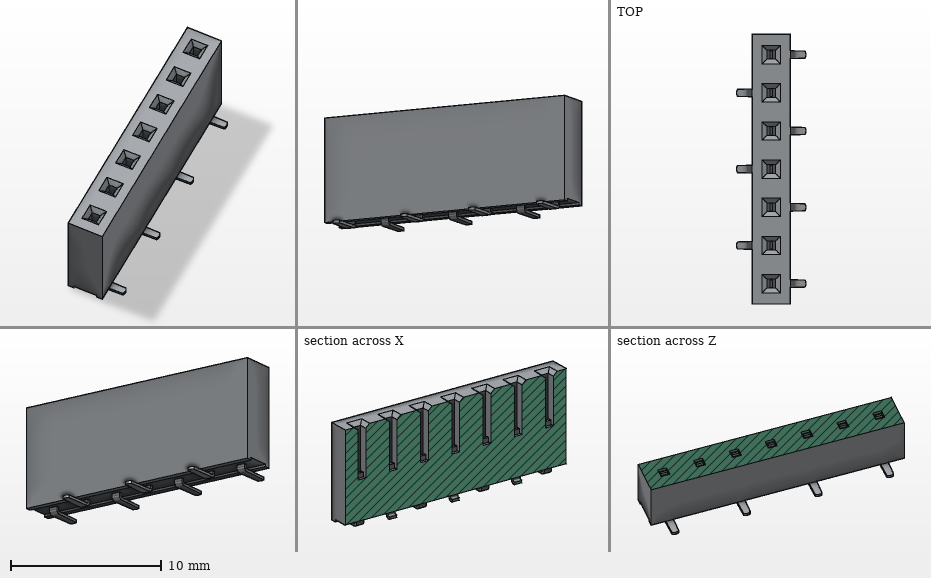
import cadquery as cq
import math


housing_width = 2.54
housing_length = 17.98
housing_bottom = 0.32
housing_top = 7.4
channel_width = 1.67
channel_depth = 0.16

contact_count = 7
end_allowance = 0.2

funnel_mouth = 1.22
funnel_depth = 0.29
well_size = 0.6
well_depth = 3.6

lead_span = 4.64
lead_thickness = 0.2
lead_root_width = 0.6
lead_tip_width = 0.49
lead_tip_bulge = 0.07
bend_inner_radius = 0.099
blade_width = 0.5
blade_height = 0.36

pitch = (housing_length - end_allowance) / contact_count
well_floor = housing_top - funnel_depth - well_depth
lead_reach = lead_span / 2
bend_outer_radius = bend_inner_radius + lead_thickness
bend_center_x = lead_thickness / 2 + bend_inner_radius


def make_housing():
    """Rectangular block with a channel along its underside."""
    block = cq.Workplane("XY").workplane(offset=housing_bottom).rect(housing_width, housing_length)
    block = block.extrude(housing_top - housing_bottom)
    channel = cq.Workplane("XY").workplane(offset=housing_bottom).rect(channel_width, housing_length)
    return block.cut(channel.extrude(channel_depth))


def make_socket():
    """Void of one socket, centred on the Z axis."""
    funnel = (
        cq.Workplane("XY")
        .workplane(offset=housing_top)
        .rect(funnel_mouth, funnel_mouth)
        .workplane(offset=-funnel_depth)
        .rect(well_size, well_size)
        .loft(ruled=True)
    )
    well = cq.Workplane("XY").workplane(offset=well_floor).rect(well_size, well_size)
    return funnel.union(well.extrude(well_depth))


def make_lead():
    """Upright strip that bends into a flat, tapered lead pointing to +X."""
    half_thickness = lead_thickness / 2
    diagonal = math.sqrt(0.5)
    inner_offset = bend_inner_radius * diagonal
    outer_offset = bend_outer_radius * diagonal
    profile = (
        cq.Workplane("XZ")
        .moveTo(half_thickness, well_floor)
        .lineTo(half_thickness, bend_outer_radius)
        .threePointArc(
            (bend_center_x - inner_offset, bend_outer_radius - inner_offset),
            (bend_center_x, lead_thickness),
        )
        .lineTo(lead_reach, lead_thickness)
        .lineTo(lead_reach, 0)
        .lineTo(bend_center_x, 0)
        .threePointArc(
            (bend_center_x - outer_offset, bend_outer_radius - outer_offset),
            (-half_thickness, bend_outer_radius),
        )
        .lineTo(-half_thickness, well_floor)
        .close()
        .extrude(lead_root_width / 2, both=True)
    )
    tip_start = lead_reach - lead_tip_bulge
    plan = (
        cq.Workplane("XY")
        .moveTo(-half_thickness, -lead_root_width / 2)
        .lineTo(bend_center_x, -lead_root_width / 2)
        .lineTo(tip_start, -lead_tip_width / 2)
        .threePointArc((lead_reach, 0), (tip_start, lead_tip_width / 2))
        .lineTo(bend_center_x, lead_root_width / 2)
        .lineTo(-half_thickness, lead_root_width / 2)
        .close()
        .extrude(well_floor)
    )
    return profile.intersect(plan)


def make_blade():
    """Narrow end of the contact standing on the floor of the well."""
    blade = cq.Workplane("XY").workplane(offset=well_floor).rect(lead_thickness, blade_width)
    return blade.extrude(blade_height)


result = make_housing()
socket = make_socket()
blade = make_blade()
lead = make_lead()
first_y = -pitch * (contact_count - 1) / 2

for index in range(contact_count):
    position = (0, first_y + index * pitch, 0)
    turn = 180 * (index % 2)
    turned_lead = lead.rotate((0, 0, 0), (0, 0, 1), turn)
    result = result.cut(socket.translate(position))
    result = result.union(turned_lead.translate(position))
    result = result.union(blade.translate(position))